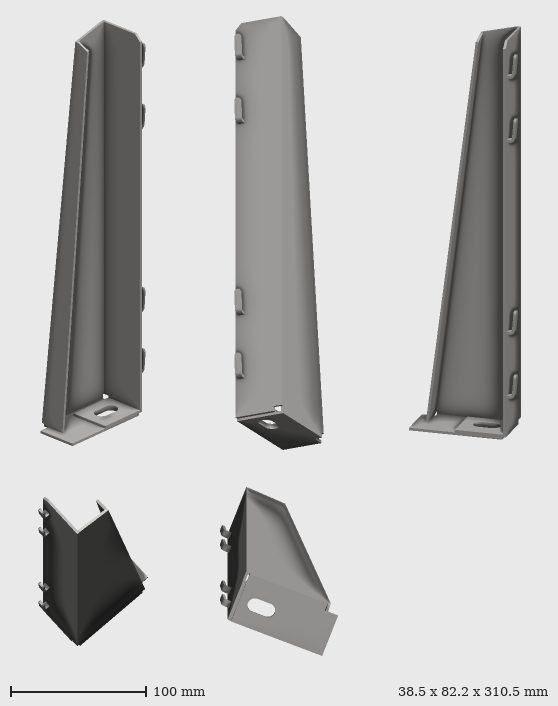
import cadquery as cq
import math

WIDTH = 38.49
HEIGHT = 310.48
DEPTH = 82.24
HOOK_REACH = 7.24
SHEET = 2.0

TOP_DEPTH = 30.8
TOP_DROP = 7.0
TOP_LAND = 3.0
BOTTOM_DEPTH = 67.5
WEB_TOP_Z = HEIGHT - TOP_DROP

FLANGE_TOP_WIDTH = 12.5
FLANGE_BOTTOM_WIDTH = 21.0
FLANGE_TOP_FALL = 4.2
FLANGE_BOTTOM_Z = 2.4
FLANGE_CORNER_Z = 4.0

PANEL_CORNER_CHAMFER = 5.0

BASE_DEPTH = DEPTH - HOOK_REACH
BASE_BACK_GAP = 2.8
LIP_SIDE_INSET = 6.0
FOOT_DEPTH = 39.5
FOOT_SIDE_INSET = 6.5

BACK_RELIEF_TOP_Z = 5.6
FRONT_RELIEF_TOP_Z = 4.5
FRONT_RELIEF_Y = -64.5

SLOT_X = 21.0
SLOT_Y = -20.0
SLOT_LENGTH = 21.2
SLOT_WIDTH = 11.0

HOOK_X = 33.2
HOOK_WIDTH = 5.0
HOOK_HEIGHT = 18.2
HOOK_THICKNESS = 2.0
HOOK_LEAN = 1.2
HOOK_BEND = 3.5
HOOK_TIP_WIDTH = 3.0
HOOK_TIP_LENGTH = 1.8
HOOK_TOP_DROP = 10.7
HOOK_OFFSETS = (0, 50, 200, 250)


def box(x0, x1, y0, y1, z0, z1):
    return cq.Workplane("XY").box(x1 - x0, y1 - y0, z1 - z0, centered=False).translate((x0, y0, z0))


def front_edge_y(z):
    """Y of the sloping front edge of the web at height z."""
    share = (WEB_TOP_Z - z) / WEB_TOP_Z
    return -TOP_DEPTH - (BOTTOM_DEPTH - TOP_DEPTH) * share


def web_outline():
    return [
        (0, 0),
        (-BOTTOM_DEPTH, 0),
        (-TOP_DEPTH, WEB_TOP_Z),
        (-TOP_LAND, HEIGHT),
        (0, HEIGHT),
    ]


def make_web():
    web = cq.Workplane("YZ").polyline(web_outline()).close().extrude(SHEET)
    back_relief = box(0, SHEET, -BASE_BACK_GAP, 0, 0, BACK_RELIEF_TOP_Z)
    front_relief = box(0, SHEET, -DEPTH, FRONT_RELIEF_Y, 0, FRONT_RELIEF_TOP_Z)
    return web.cut(back_relief).cut(front_relief)


def make_front_flange():
    band_thickness = SHEET * math.hypot(1, (BOTTOM_DEPTH - TOP_DEPTH) / WEB_TOP_Z)
    band = (
        cq.Workplane("YZ")
        .polyline([
            (front_edge_y(0), 0),
            (front_edge_y(HEIGHT), HEIGHT),
            (front_edge_y(HEIGHT) + band_thickness, HEIGHT),
            (front_edge_y(0) + band_thickness, 0),
        ])
        .close()
        .extrude(WIDTH)
    )
    face = (
        cq.Workplane("XZ")
        .polyline([
            (0, FLANGE_CORNER_Z),
            (LIP_SIDE_INSET, FLANGE_BOTTOM_Z),
            (FLANGE_BOTTOM_WIDTH, FLANGE_BOTTOM_Z),
            (FLANGE_TOP_WIDTH, WEB_TOP_Z - FLANGE_TOP_FALL),
            (SHEET, WEB_TOP_Z),
            (0, WEB_TOP_Z),
        ])
        .close()
        .extrude(DEPTH)
    )
    return band.intersect(face)


def make_back_panel():
    panel = box(0, WIDTH, -SHEET, 0, SHEET, HEIGHT)
    corner_relief = box(0, FOOT_SIDE_INSET, -SHEET, 0, 0, BACK_RELIEF_TOP_Z)
    return panel.cut(corner_relief).edges("|Y and >X and >Z").chamfer(PANEL_CORNER_CHAMFER)


def make_base():
    under_web = box(0, WIDTH, FRONT_RELIEF_Y, -BASE_BACK_GAP, 0, SHEET)
    lip = box(LIP_SIDE_INSET, WIDTH, -BASE_DEPTH, FRONT_RELIEF_Y, 0, SHEET)
    foot = box(FOOT_SIDE_INSET, WIDTH, -FOOT_DEPTH, 0, SHEET, 2 * SHEET)
    slot = (
        cq.Workplane("XY")
        .center(SLOT_X, SLOT_Y)
        .slot2D(SLOT_LENGTH, SLOT_WIDTH, 90)
        .extrude(2 * SHEET)
    )
    return under_web.union(lip).union(foot).cut(slot)


def make_hook(top_z):
    """Upturned hook: a bent bar of constant width, narrowed at its tip at top_z."""
    bottom_z = top_z - HOOK_HEIGHT
    leg_z = bottom_z + HOOK_BEND
    bend_y = HOOK_REACH - HOOK_LEAN
    bar = (
        cq.Workplane("YZ")
        .moveTo(-SHEET, bottom_z)
        .lineTo(bend_y - HOOK_BEND, bottom_z)
        .radiusArc((bend_y, leg_z), -HOOK_BEND)
        .lineTo(HOOK_REACH, top_z)
        .lineTo(HOOK_REACH - HOOK_THICKNESS, top_z)
        .lineTo(bend_y - HOOK_THICKNESS, leg_z)
        .radiusArc((bend_y - HOOK_BEND, bottom_z + HOOK_THICKNESS), HOOK_BEND - HOOK_THICKNESS)
        .lineTo(-SHEET, bottom_z + HOOK_THICKNESS)
        .close()
        .extrude(HOOK_WIDTH)
        .translate((HOOK_X - HOOK_WIDTH / 2, 0, 0))
    )
    shoulder_z = top_z - HOOK_TIP_LENGTH
    front_silhouette = (
        cq.Workplane("XZ", origin=(HOOK_X, -SHEET, 0))
        .polyline([
            (-HOOK_WIDTH / 2, bottom_z),
            (-HOOK_WIDTH / 2, shoulder_z),
            (-HOOK_TIP_WIDTH / 2, top_z),
            (HOOK_TIP_WIDTH / 2, top_z),
            (HOOK_WIDTH / 2, shoulder_z),
            (HOOK_WIDTH / 2, bottom_z),
        ])
        .close()
        .extrude(-HOOK_REACH - SHEET)
    )
    return bar.intersect(front_silhouette)


result = make_web().union(make_front_flange()).union(make_back_panel()).union(make_base())
for hook_offset in HOOK_OFFSETS:
    result = result.union(make_hook(HEIGHT - HOOK_TOP_DROP - hook_offset))